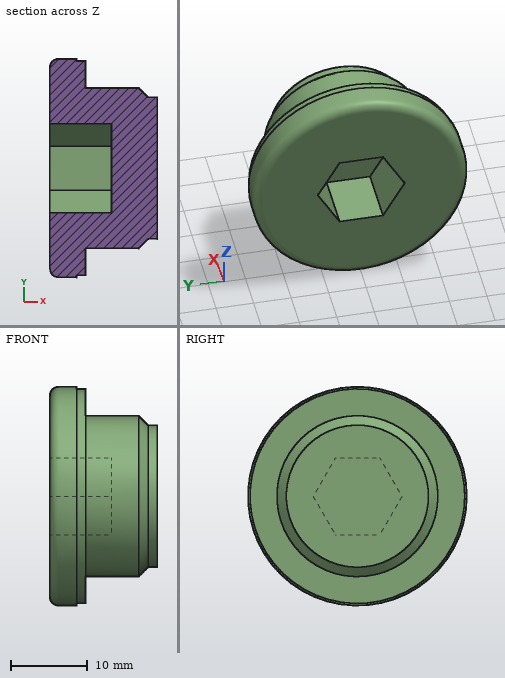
import cadquery as cq

flange_diameter = 28.5
flange_length = 3.5
flange_rounding = 1.17
collar_diameter = 27.93
collar_end = 4.67
shank_diameter = 20.95
tip_diameter = 18.5
tip_length = 1.2
total_length = 14.0
socket_across_flats = 10.0
socket_depth = 8.0
socket_angle = 30

tip_start = total_length - tip_length
taper_length = (shank_diameter - tip_diameter) / 2
taper_start = tip_start - taper_length


def make_body():
    """Revolve the stepped half profile, drawn as (X, radius)."""
    profile = (
        cq.Workplane("XY")
        .lineTo(0, flange_diameter / 2)
        .lineTo(flange_length, flange_diameter / 2)
        .lineTo(flange_length, collar_diameter / 2)
        .lineTo(collar_end, collar_diameter / 2)
        .lineTo(collar_end, shank_diameter / 2)
        .lineTo(taper_start, shank_diameter / 2)
        .lineTo(tip_start, tip_diameter / 2)
        .lineTo(total_length, tip_diameter / 2)
        .lineTo(total_length, 0)
        .close()
    )
    body = profile.revolve(360, (0, 0, 0), (1, 0, 0))
    return body.faces("<X").edges().fillet(flange_rounding)


def make_socket():
    """Blind hexagonal socket with two corners along Y and flats facing Z."""
    return (
        cq.Workplane("YZ")
        .transformed(rotate=(0, 0, socket_angle))
        .polygon(6, socket_across_flats, circumscribed=True)
        .extrude(socket_depth)
    )


result = make_body().cut(make_socket())